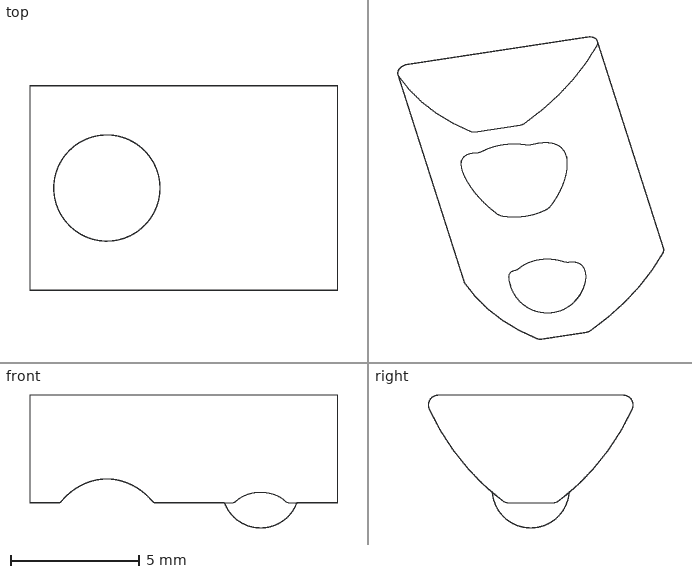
import cadquery as cq
import math

length = 12.0
width = 7.99
body_height = 4.21
total_height = 5.2

corner_radius = 0.4
corner_end_angle = math.radians(26)
flank_bulge = 0.3
lower_half_width = 0.98
lower_edge_radius = 0.36

hole_diameter = 4.14
hole_x = length / 4
ball_diameter = 3.02
ball_x = length * 3 / 4


def flank_middle(start, end, bulge):
    """Return the point offset outward from the middle of a right-hand flank chord."""
    dy = end[0] - start[0]
    dz = end[1] - start[1]
    chord = math.hypot(dy, dz)
    return (
        (start[0] + end[0]) / 2 - bulge * dz / chord,
        (start[1] + end[1]) / 2 + bulge * dy / chord,
    )


def mirrored(point):
    """Reflect a cross-section point across the centre plane."""
    return (-point[0], point[1])


def make_body():
    """Bar with a flat top, rounded corners and convex flanks."""
    corner_y = width / 2 - corner_radius
    top = (corner_y, 0)
    outer = (width / 2, -corner_radius)
    flank_top = (
        corner_y + corner_radius * math.cos(corner_end_angle),
        -corner_radius * (1 + math.sin(corner_end_angle)),
    )
    lower = (lower_half_width, -body_height)
    flank = flank_middle(flank_top, lower, flank_bulge)
    body = (
        cq.Workplane("YZ")
        .moveTo(*mirrored(top))
        .lineTo(*top)
        .threePointArc(outer, flank_top)
        .threePointArc(flank, lower)
        .lineTo(*mirrored(lower))
        .threePointArc(mirrored(flank), mirrored(flank_top))
        .threePointArc(mirrored(outer), mirrored(top))
        .close()
        .extrude(length)
    )
    return body.faces("<Z").edges("|X").fillet(lower_edge_radius)


def make_hole():
    """Vertical through hole."""
    return (
        cq.Workplane("XY")
        .center(hole_x, 0)
        .circle(hole_diameter / 2)
        .extrude(-body_height)
    )


def make_ball():
    """Ball protruding from the underside."""
    ball_radius = ball_diameter / 2
    ball_z = ball_radius - total_height
    return cq.Workplane("XY").sphere(ball_radius).translate((ball_x, 0, ball_z))


result = make_body().cut(make_hole()).union(make_ball())